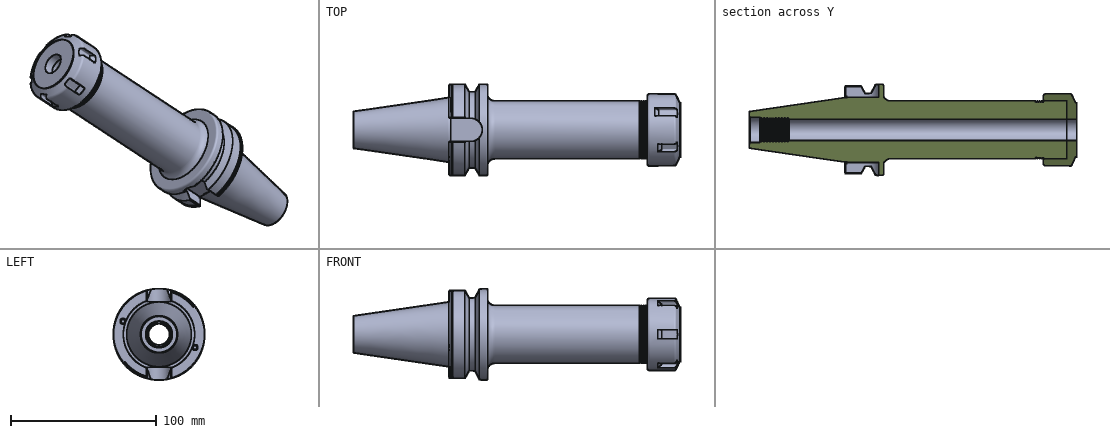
import cadquery as cq
import math


LENGTH = 225.5
BORE_RADIUS = 7.2

TAPER_SLOPE = 7 / 24 / 2
TAPER_LENGTH = 65.4
TAPER_LARGE_RADIUS = 22.3
TAPER_SMALL_RADIUS = TAPER_LARGE_RADIUS - TAPER_LENGTH * TAPER_SLOPE
SMALL_END_CHAMFER = 0.5

PILOT_RADIUS = 8.5
PILOT_DEPTH = 7.2
PILOT_CHAMFER = 0.7
STUD_THREAD_RADIUS = 8.1
STUD_THREAD_PITCH = 2.0
STUD_THREAD_TURNS = 10

FLANGE_RADIUS = 31.5
FLANGE_START = 65.8
FLANGE_END = 92.6
FLANGE_EDGE_FILLET = 1.4
RECESS_RADIUS = 24.5
RECESS_DEPTH = 1.1

LINE_GROOVE_START = 67.6
LINE_GROOVE_WIDTH = 1.0
LINE_GROOVE_DEPTH = 0.5

GROOVE_FLOOR_RADIUS = 26.4
GROOVE_FLOOR_START = 79.8
GROOVE_FLOOR_END = 83.8
GROOVE_WALL_ANGLE = 30.0
GROOVE_WALL_RUN = (FLANGE_RADIUS - GROOVE_FLOOR_RADIUS) * math.tan(math.radians(GROOVE_WALL_ANGLE))

SLOT_WIDTH = 16.0
SLOT_END = 88.8
SLOT_FLOOR_HEIGHT = 22.5
SLOT_CHAMFER = 0.7

FACE_HOLE_RADIUS = 1.4
FACE_HOLE_MOUTH_RADIUS = 2.0
FACE_HOLE_CIRCLE = 26.4
FACE_HOLE_DEPTH = 4.5
FACE_HOLE_ANGLE = 20.0

BODY_RADIUS = 20.0
NECK_RADIUS = 5.2
NECK_RUN = 4.7

THREAD_START = 196.8
THREAD_PITCH = 1.5
THREAD_DEPTH = 1.0
THREAD_TURNS = 4

NUT_START = 202.2
NUT_RADIUS = 25.0
NUT_BACK_FILLET = 2.0
NUT_CONE_START = 221.8
NUT_CONE_END = 224.7
NUT_CONE_ANGLE = 65.0
NUT_CONE_FILLET = 1.8
NUT_FACE_RADIUS = NUT_RADIUS - (NUT_CONE_END - NUT_CONE_START) * math.tan(math.radians(NUT_CONE_ANGLE))
NUT_WALL = 6.8
HOLDER_END = LENGTH - NUT_WALL

WRENCH_SLOT_COUNT = 6
WRENCH_SLOT_WIDTH = 6.0
WRENCH_SLOT_START = 209.5
WRENCH_SLOT_FLOOR = 22.0
WRENCH_SLOT_FILLET = 0.7
LONG_SLOT_START = 207.4
LONG_SLOT_INDEX = 1


def revolve_about_x(profile):
    """Turn a closed profile drawn as (x, radius) once around the X axis."""
    return profile.revolve(360, (0, 0, 0), (1, 0, 0))


def ring_cutter(points):
    """Ring-shaped cutter with the given (x, radius) outline."""
    return revolve_about_x(cq.Workplane("XZ").polyline(points).close())


def holder_blank():
    neck_top = BODY_RADIUS + NECK_RADIUS - math.sqrt(NECK_RADIUS**2 - NECK_RUN**2)
    neck_end = FLANGE_END + NECK_RUN
    arc_angle = math.asin(NECK_RUN / NECK_RADIUS) / 2
    neck_middle = (
        neck_end - NECK_RADIUS * math.sin(arc_angle),
        BODY_RADIUS + NECK_RADIUS * (1 - math.cos(arc_angle)),
    )
    fillet = FLANGE_EDGE_FILLET
    profile = (
        cq.Workplane("XZ")
        .moveTo(0, BORE_RADIUS)
        .lineTo(0, TAPER_SMALL_RADIUS - SMALL_END_CHAMFER)
        .lineTo(SMALL_END_CHAMFER, TAPER_SMALL_RADIUS + SMALL_END_CHAMFER * TAPER_SLOPE)
        .lineTo(TAPER_LENGTH, TAPER_LARGE_RADIUS)
        .lineTo(FLANGE_START + RECESS_DEPTH, TAPER_LARGE_RADIUS)
        .lineTo(FLANGE_START + RECESS_DEPTH, RECESS_RADIUS)
        .lineTo(FLANGE_START, RECESS_RADIUS)
        .lineTo(FLANGE_START, FLANGE_RADIUS - fillet)
        .radiusArc((FLANGE_START + fillet, FLANGE_RADIUS), fillet)
        .lineTo(FLANGE_END - fillet, FLANGE_RADIUS)
        .radiusArc((FLANGE_END, FLANGE_RADIUS - fillet), fillet)
        .lineTo(FLANGE_END, neck_top)
        .threePointArc(neck_middle, (neck_end, BODY_RADIUS))
        .lineTo(HOLDER_END, BODY_RADIUS)
        .lineTo(HOLDER_END, BORE_RADIUS)
        .close()
    )
    return revolve_about_x(profile)


def pilot_bore():
    mouth_radius = PILOT_RADIUS + PILOT_CHAMFER
    return ring_cutter(
        [
            (0, 0),
            (0, mouth_radius),
            (PILOT_CHAMFER, PILOT_RADIUS),
            (PILOT_DEPTH, PILOT_RADIUS),
            (PILOT_DEPTH, 0),
        ]
    )


def line_groove():
    end = LINE_GROOVE_START + LINE_GROOVE_WIDTH
    floor_radius = FLANGE_RADIUS - LINE_GROOVE_DEPTH
    return ring_cutter(
        [
            (LINE_GROOVE_START, FLANGE_RADIUS),
            (LINE_GROOVE_START, floor_radius),
            (end, floor_radius),
            (end, FLANGE_RADIUS),
        ]
    )


def gripper_groove():
    return ring_cutter(
        [
            (GROOVE_FLOOR_START - GROOVE_WALL_RUN, FLANGE_RADIUS),
            (GROOVE_FLOOR_START, GROOVE_FLOOR_RADIUS),
            (GROOVE_FLOOR_END, GROOVE_FLOOR_RADIUS),
            (GROOVE_FLOOR_END + GROOVE_WALL_RUN, FLANGE_RADIUS),
        ]
    )


def drive_slot():
    """Slot on the +Z side, open toward the taper and round at its other end."""
    half_width = SLOT_WIDTH / 2
    arc_start = SLOT_END - half_width
    return (
        cq.Workplane("XY", origin=(0, 0, SLOT_FLOOR_HEIGHT))
        .moveTo(TAPER_LENGTH, -half_width)
        .lineTo(arc_start, -half_width)
        .threePointArc((SLOT_END, 0), (arc_start, half_width))
        .lineTo(TAPER_LENGTH, half_width)
        .close()
        .extrude(FLANGE_RADIUS - SLOT_FLOOR_HEIGHT)
    )


def drive_slot_chamfer():
    """Bevels where the walls of the drive slot meet the flange face and the flange rim."""
    half_width = SLOT_WIDTH / 2
    mouth_half_width = half_width + SLOT_CHAMFER
    rim_height = math.sqrt(FLANGE_RADIUS**2 - mouth_half_width**2)
    face_bevel = (
        cq.Workplane("XY", origin=(0, 0, SLOT_FLOOR_HEIGHT))
        .moveTo(FLANGE_START, -mouth_half_width)
        .lineTo(FLANGE_START + SLOT_CHAMFER, -half_width)
        .lineTo(FLANGE_START + SLOT_CHAMFER, half_width)
        .lineTo(FLANGE_START, mouth_half_width)
        .close()
        .extrude(FLANGE_RADIUS - SLOT_FLOOR_HEIGHT)
    )
    rim_bevel = (
        cq.Workplane("YZ", origin=(FLANGE_START, 0, 0))
        .moveTo(-half_width, rim_height - SLOT_CHAMFER)
        .lineTo(half_width, rim_height - SLOT_CHAMFER)
        .lineTo(mouth_half_width, rim_height)
        .lineTo(mouth_half_width, FLANGE_RADIUS)
        .lineTo(-mouth_half_width, FLANGE_RADIUS)
        .lineTo(-mouth_half_width, rim_height)
        .close()
        .extrude(GROOVE_FLOOR_START - FLANGE_START)
    )
    return face_bevel.union(rim_bevel)


def face_hole():
    """Countersunk hole on the +Y side of the flange face, before it is turned to its angle."""
    countersink_depth = FACE_HOLE_MOUTH_RADIUS - FACE_HOLE_RADIUS
    axis_start = (FLANGE_START, FACE_HOLE_CIRCLE, 0)
    axis_end = (FLANGE_START + FACE_HOLE_DEPTH, FACE_HOLE_CIRCLE, 0)
    return (
        cq.Workplane("XY")
        .moveTo(FLANGE_START, FACE_HOLE_CIRCLE)
        .lineTo(FLANGE_START, FACE_HOLE_CIRCLE + FACE_HOLE_MOUTH_RADIUS)
        .lineTo(FLANGE_START + countersink_depth, FACE_HOLE_CIRCLE + FACE_HOLE_RADIUS)
        .lineTo(FLANGE_START + FACE_HOLE_DEPTH, FACE_HOLE_CIRCLE + FACE_HOLE_RADIUS)
        .lineTo(FLANGE_START + FACE_HOLE_DEPTH, FACE_HOLE_CIRCLE)
        .close()
        .revolve(360, axis_start, axis_end)
    )


def thread_groove(start, pitch, crest_radius, root_radius):
    """One V-shaped turn of a thread, drawn as a closed ring."""
    return ring_cutter(
        [
            (start, crest_radius),
            (start + pitch / 2, root_radius),
            (start + pitch, crest_radius),
        ]
    )


def turned(shape, angle):
    return shape.rotate((0, 0, 0), (1, 0, 0), angle)


def make_holder():
    holder = holder_blank().cut(pilot_bore()).cut(line_groove()).cut(gripper_groove())
    for half_turn in (0, 180):
        holder = holder.cut(turned(drive_slot(), half_turn))
        holder = holder.cut(turned(drive_slot_chamfer(), half_turn))
        holder = holder.cut(turned(face_hole(), half_turn + FACE_HOLE_ANGLE))
    for turn in range(STUD_THREAD_TURNS):
        start = PILOT_DEPTH + turn * STUD_THREAD_PITCH
        holder = holder.cut(thread_groove(start, STUD_THREAD_PITCH, BORE_RADIUS, STUD_THREAD_RADIUS))
    for turn in range(THREAD_TURNS):
        start = THREAD_START + turn * THREAD_PITCH
        holder = holder.cut(thread_groove(start, THREAD_PITCH, BODY_RADIUS, BODY_RADIUS - THREAD_DEPTH))
    return holder


def nut_blank():
    back = NUT_BACK_FILLET
    tangent = NUT_CONE_FILLET * math.tan(math.radians(NUT_CONE_ANGLE / 2))
    cone_tangent_point = (
        NUT_CONE_START + tangent * math.cos(math.radians(NUT_CONE_ANGLE)),
        NUT_RADIUS - tangent * math.sin(math.radians(NUT_CONE_ANGLE)),
    )
    profile = (
        cq.Workplane("XZ")
        .moveTo(NUT_START, BODY_RADIUS)
        .lineTo(NUT_START, NUT_RADIUS - back)
        .radiusArc((NUT_START + back, NUT_RADIUS), back)
        .lineTo(NUT_CONE_START - tangent, NUT_RADIUS)
        .radiusArc(cone_tangent_point, NUT_CONE_FILLET)
        .lineTo(NUT_CONE_END, NUT_FACE_RADIUS)
        .lineTo(LENGTH, NUT_FACE_RADIUS)
        .lineTo(LENGTH, BORE_RADIUS)
        .lineTo(HOLDER_END, BORE_RADIUS)
        .lineTo(HOLDER_END, BODY_RADIUS)
        .close()
    )
    return revolve_about_x(profile)


def wrench_slot(start):
    """Slot on the +Y side of the nut: a 45 degree ramp down to a flat floor, open at the front."""
    depth = NUT_RADIUS - WRENCH_SLOT_FLOOR
    return (
        cq.Workplane("XY")
        .moveTo(start, NUT_RADIUS)
        .lineTo(start + depth, WRENCH_SLOT_FLOOR)
        .lineTo(LENGTH, WRENCH_SLOT_FLOOR)
        .lineTo(LENGTH, NUT_RADIUS)
        .close()
        .extrude(WRENCH_SLOT_WIDTH / 2, both=True)
        .faces("<Y")
        .edges("|X")
        .fillet(WRENCH_SLOT_FILLET)
    )


def make_nut():
    nut = nut_blank()
    for index in range(WRENCH_SLOT_COUNT):
        start = LONG_SLOT_START if index == LONG_SLOT_INDEX else WRENCH_SLOT_START
        nut = nut.cut(turned(wrench_slot(start), index * 360 / WRENCH_SLOT_COUNT))
    return nut


holder = make_holder()
nut = make_nut()

result = cq.Compound.makeCompound([holder.solids().val(), nut.solids().val()])